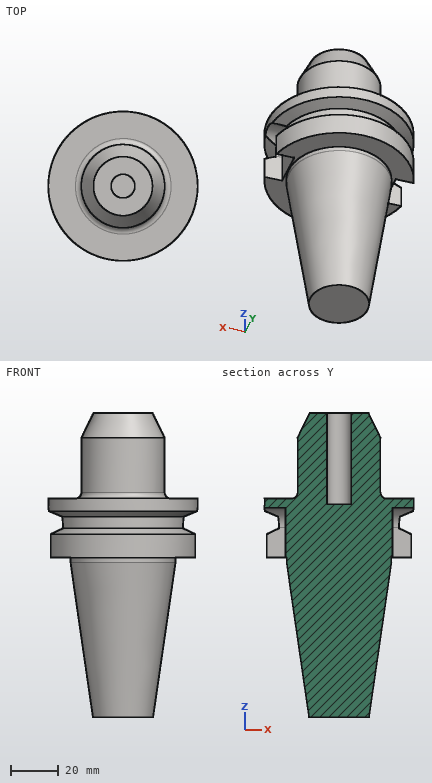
import cadquery as cq

total_height = 128.4
taper_top = 65.5
flange_bottom = 67.4
groove_lower_edge = 77.3
groove_floor_bottom = 79.7
groove_floor_top = 84.6
groove_upper_edge = 86.9
flange_top = 92.3
nose_cone_bottom = 117.9

taper_small_radius = 12.7
taper_large_radius = 22.2
flange_radius = 63.0 / 2
groove_radius = 26.6
nose_radius = 17.6
nose_tip_radius = 12.5
nose_fillet = 2.6
bore_radius = 5.0
bore_depth = 38.5

slot_width = 16.0
slot_floor = 22.6
slot_top = 88.2


def make_body():
    """Taper, grooved flange and nose, revolved about Z."""
    fillet_radius_end = nose_radius + nose_fillet
    fillet_height_end = flange_top + nose_fillet
    half_profile = (
        cq.Workplane("XZ")
        .lineTo(taper_small_radius, 0)
        .lineTo(taper_large_radius, taper_top)
        .lineTo(taper_large_radius, flange_bottom)
        .lineTo(flange_radius, flange_bottom)
        .lineTo(flange_radius, groove_lower_edge)
        .lineTo(groove_radius, groove_floor_bottom)
        .lineTo(groove_radius, groove_floor_top)
        .lineTo(flange_radius, groove_upper_edge)
        .lineTo(flange_radius, flange_top)
        .lineTo(fillet_radius_end, flange_top)
        .radiusArc((nose_radius, fillet_height_end), nose_fillet)
        .lineTo(nose_radius, nose_cone_bottom)
        .lineTo(nose_tip_radius, total_height)
        .lineTo(0, total_height)
        .close()
    )
    return half_profile.revolve(360, (0, 0, 0), (0, 1, 0))


def make_slot(direction):
    """Round-topped slot cutter, open at the flange bottom and outside."""
    half_width = slot_width / 2
    arc_start = slot_top - half_width
    return (
        cq.Workplane("YZ", origin=(direction * slot_floor, 0, 0))
        .moveTo(-half_width, flange_bottom)
        .lineTo(-half_width, arc_start)
        .threePointArc((0, slot_top), (half_width, arc_start))
        .lineTo(half_width, flange_bottom)
        .close()
        .extrude(direction * flange_radius)
    )


def make_bore():
    """Blind tool bore in the nose."""
    return (
        cq.Workplane("XY", origin=(0, 0, total_height - bore_depth))
        .circle(bore_radius)
        .extrude(bore_depth)
    )


result = make_body().cut(make_bore())
for side in (-1, 1):
    result = result.cut(make_slot(side))